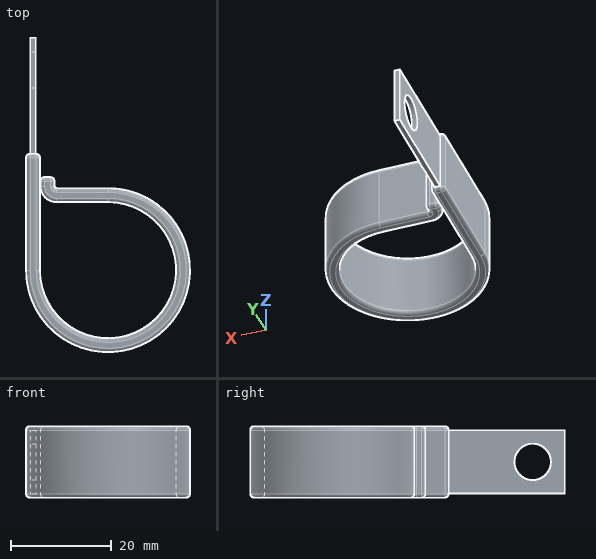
import cadquery as cq
import math

total_length = 62.3
loop_radius = 16.25
clamp_width = 14.2
cushion = 0.8
strap_thickness = 1.2
leg_end_y = 23.05
lip_end_y = 18.45
lip_gap = 0.05
bend_inner_radius = 0.4
hole_diameter = 7.15
hole_to_end = 6.35

wall = strap_thickness + 2 * cushion
loop_inner_radius = loop_radius - wall
strap_width = clamp_width - 2 * cushion
strap_end_y = total_length - loop_radius
bend_outer_radius = bend_inner_radius + wall
lip_x = -loop_inner_radius + lip_gap
bend_x = lip_x + bend_outer_radius
bend_y = loop_radius + bend_inner_radius
diagonal = math.sqrt(0.5)


def make_cushion():
    """Leg, three-quarter loop, arm and turned-up lip, with every edge rounded."""
    body = (
        cq.Workplane("XY")
        .workplane(offset=-clamp_width / 2)
        .moveTo(-loop_radius, leg_end_y)
        .lineTo(-loop_radius, 0)
        .threePointArc((loop_radius * diagonal, -loop_radius * diagonal), (0, loop_radius))
        .lineTo(bend_x, loop_radius)
        .threePointArc(
            (bend_x - bend_inner_radius * diagonal, bend_y - bend_inner_radius * diagonal),
            (bend_x - bend_inner_radius, bend_y),
        )
        .lineTo(lip_x + wall, lip_end_y)
        .lineTo(lip_x, lip_end_y)
        .lineTo(lip_x, bend_y)
        .threePointArc(
            (bend_x - bend_outer_radius * diagonal, bend_y - bend_outer_radius * diagonal),
            (bend_x, loop_inner_radius),
        )
        .lineTo(0, loop_inner_radius)
        .threePointArc(
            (loop_inner_radius * diagonal, -loop_inner_radius * diagonal),
            (-loop_inner_radius, 0),
        )
        .lineTo(-loop_inner_radius, leg_end_y)
        .close()
        .extrude(clamp_width)
    )
    end_corners = [
        (-loop_radius, leg_end_y),
        (-loop_inner_radius, leg_end_y),
        (lip_x, lip_end_y),
        (lip_x + wall, lip_end_y),
    ]
    edges = body.faces("<Z or >Z").edges()
    for x, y in end_corners:
        edges = edges.add(body.edges(cq.selectors.NearestToPointSelector((x, y, 0))))
    return edges.fillet(cushion)


def make_strap():
    """Bare flat strap that leaves the leg, with its mounting hole."""
    strap_root_y = leg_end_y - wall
    strap = cq.Workplane("XY").box(
        strap_thickness, strap_end_y - strap_root_y, strap_width, centered=(True, False, True)
    ).translate((-loop_radius + wall / 2, strap_root_y, 0))
    hole = (
        cq.Workplane("YZ")
        .center(strap_end_y - hole_to_end, 0)
        .circle(hole_diameter / 2)
        .extrude(loop_radius, both=True)
    )
    return strap.cut(hole)


result = make_cushion().union(make_strap())